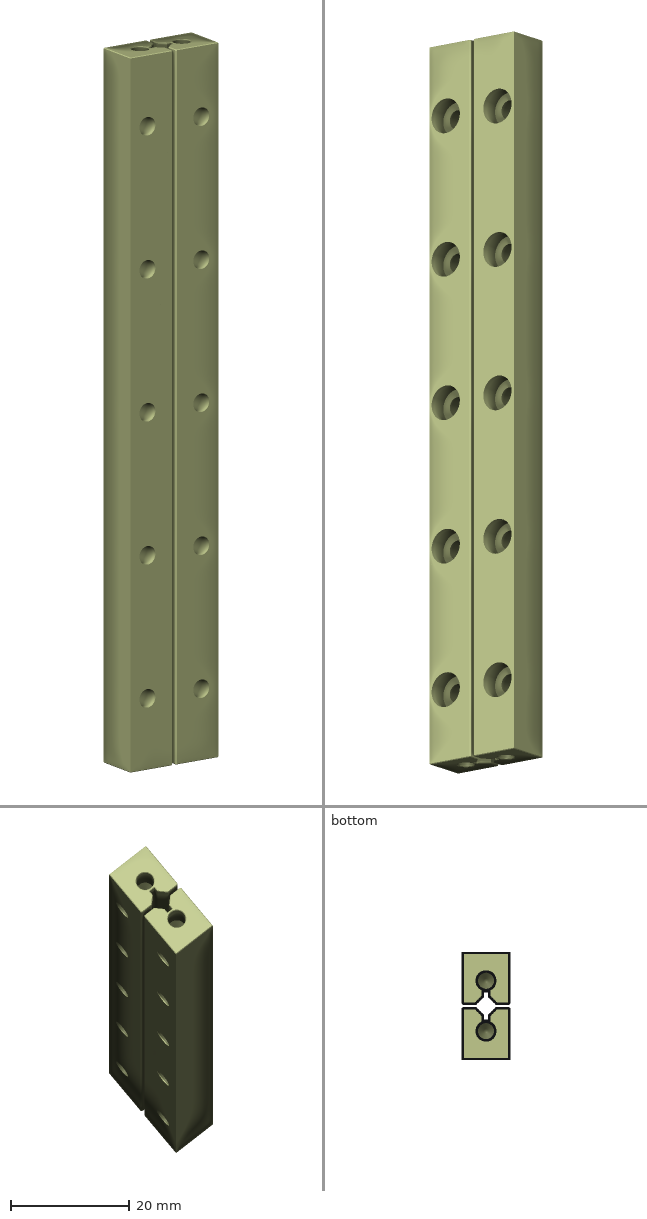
import cadquery as cq

LENGTH = 125.0
THICKNESS = 8.0
PAIR_WIDTH = 18.0
RAIL_GAP = 0.6
END_CHAMFER = 0.1
INNER_CHAMFER = 0.19

RACEWAY_MOUTH = 3.5
RELIEF_WIDTH = 1.0
RELIEF_BOTTOM_Y = 2.4

MOUNT_COUNT = 5
MOUNT_PITCH = 25.0
MOUNT_EDGE_DISTANCE = 3.5
MOUNT_DIAMETER = 3.2
COUNTERBORE_DIAMETER = 6.0
COUNTERBORE_DEPTH = 3.2

END_HOLE_Y = 4.2
END_HOLE_DIAMETER = 3.0
END_HOLE_DEPTH = 6.2
END_HOLE_TIP_HEIGHT = 1.0
END_COUNTERSINK_DIAMETER = 3.2

HALF_LENGTH = LENGTH / 2
HALF_THICKNESS = THICKNESS / 2
OUTER_Y = PAIR_WIDTH / 2
INNER_Y = RAIL_GAP / 2


def rail_bar():
    """Bar with raceway, relief slot and chamfered edges, on the +Y side of the middle plane."""
    mouth = RACEWAY_MOUTH / 2
    relief = RELIEF_WIDTH / 2
    relief_start_y = INNER_Y + mouth - relief
    half_profile = (
        cq.Workplane("XY", origin=(0, 0, -HALF_LENGTH))
        .moveTo(0, RELIEF_BOTTOM_Y)
        .lineTo(relief, RELIEF_BOTTOM_Y)
        .lineTo(relief, relief_start_y)
        .lineTo(mouth, INNER_Y)
        .lineTo(HALF_THICKNESS - INNER_CHAMFER, INNER_Y)
        .lineTo(HALF_THICKNESS, INNER_Y + INNER_CHAMFER)
        .lineTo(HALF_THICKNESS, OUTER_Y)
        .lineTo(0, OUTER_Y)
        .mirrorY()
    )
    bar = half_profile.extrude(LENGTH)
    return bar.faces("<Z or >Z").chamfer(END_CHAMFER)


def mounting_holes():
    """Row of counterbored through holes."""
    centers = [
        (OUTER_Y - MOUNT_EDGE_DISTANCE, (i - (MOUNT_COUNT - 1) / 2) * MOUNT_PITCH)
        for i in range(MOUNT_COUNT)
    ]
    near_face = cq.Workplane("YZ", origin=(-HALF_THICKNESS, 0, 0)).pushPoints(centers)
    bores = near_face.circle(MOUNT_DIAMETER / 2).extrude(THICKNESS)
    counterbores = near_face.circle(COUNTERBORE_DIAMETER / 2).extrude(COUNTERBORE_DEPTH)
    return bores.union(counterbores)


def end_hole():
    """Countersunk blind hole in the +Z end, revolved about its own axis."""
    radius = END_HOLE_DIAMETER / 2
    mouth_radius = END_COUNTERSINK_DIAMETER / 2
    countersink_depth = mouth_radius - radius
    return (
        cq.Workplane("XZ", origin=(0, END_HOLE_Y, HALF_LENGTH))
        .lineTo(mouth_radius, 0)
        .lineTo(radius, -countersink_depth)
        .lineTo(radius, -END_HOLE_DEPTH)
        .lineTo(0, -END_HOLE_DEPTH - END_HOLE_TIP_HEIGHT)
        .close()
        .revolve(360, (0, 0, 0), (0, 1, 0))
    )


def rail():
    """Complete rail on the +Y side."""
    top_hole = end_hole()
    bottom_hole = top_hole.mirror("XY")
    return rail_bar().cut(mounting_holes()).cut(top_hole).cut(bottom_hole)


rails = [rail().rotate((0, 0, 0), (1, 0, 0), turn) for turn in (0, 180)]

result = cq.Compound.makeCompound([body.val() for body in rails])